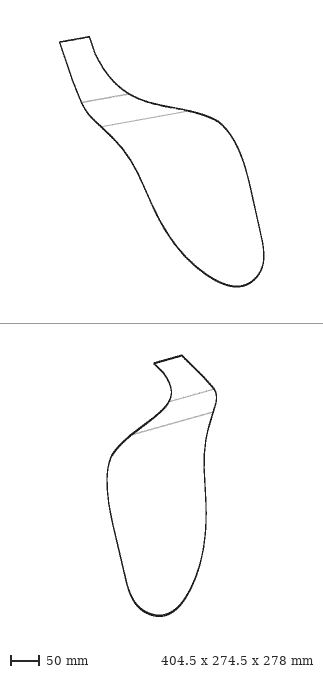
import cadquery as cq
import math

length = 404.5
handle_width = 54.5
thickness = 2.0
cross_slope = 0.063
bend_start_x = 138.0
bend_end_x = 185.5
bend_angle = math.radians(41)
margin = 8.0
sheet_depth = 283.3
trim_height = 809.5

upper_straight_end = (39.0, handle_width)
blade_corner = (205.5, 234.5)
lower_straight_end = (88.0, 0)

upper_neck = [(68.5, 59.0), (97.5, 67.0), (126.5, 81.5), (146.0, 97.5), (166.0, 130.5), (185.5, 188.0), blade_corner]
blade_edge = [
    (224.0, 251.0), (253.7, 264.0), (292.5, 270.0), (331.5, 272.5), (356.0, 274.5),
    (380.5, 269.0), (400.0, 246.0), (length, 222.5), (400.0, 196.5), (380.5, 161.5),
    (351.0, 127.5), (302.3, 94.5), (243.5, 71.2), (214.5, 53.0), (185.5, 26.5),
    (166.0, 10.5), (146.0, 3.5), (117.5, 1.2), lower_straight_end,
]

blade_profile = [(234.0, -64.0), (283.0, -119.8), (331.5, -179.5), (380.5, -236.7), (length + margin, -269.0)]
blade_tip_direction = (1, -1)


def make_sheet():
    """Bent sheet of near-constant thickness, swept in Y while falling at the cross slope."""
    top_radius = (bend_end_x - bend_start_x) / math.sin(bend_angle)
    bottom_radius = top_radius - thickness
    blade_start_direction = (math.cos(bend_angle), -math.sin(bend_angle))

    def bend_point(radius, angle):
        return (bend_start_x + radius * math.sin(angle), radius * math.cos(angle) - top_radius)

    shift_x = -thickness * math.sin(bend_angle)
    shift_z = -thickness * math.cos(bend_angle)
    underside = [(x + shift_x, z + shift_z) for x, z in blade_profile]
    underside_end = bend_point(bottom_radius, bend_angle)

    section = (
        cq.Workplane("XZ")
        .moveTo(-margin, 0)
        .lineTo(bend_start_x, 0)
        .threePointArc(bend_point(top_radius, bend_angle / 2), bend_point(top_radius, bend_angle))
        .spline(blade_profile, tangents=[blade_start_direction, blade_tip_direction], includeCurrent=True)
        .lineTo(*underside[-1])
        .spline(
            underside[-2::-1] + [underside_end],
            tangents=[(-x, -z) for x, z in (blade_tip_direction, blade_start_direction)],
            includeCurrent=True,
        )
        .threePointArc(bend_point(bottom_radius, bend_angle / 2), bend_point(bottom_radius, 0))
        .lineTo(-margin, -thickness)
        .close()
        .val()
    )
    start = section.translate(cq.Vector(0, -margin, margin * cross_slope))
    reach = sheet_depth + 2 * margin
    return cq.Solid.extrudeLinear(start, [], cq.Vector(0, reach, -reach * cross_slope))


def make_outline_prism():
    """Vertical prism with the plan outline of the handle and blade."""
    return (
        cq.Workplane("XY")
        .workplane(offset=-trim_height / 2)
        .moveTo(0, 0)
        .lineTo(0, handle_width)
        .lineTo(*upper_straight_end)
        .spline(upper_neck, includeCurrent=True)
        .spline(blade_edge, includeCurrent=True)
        .close()
        .extrude(trim_height)
    )


result = make_outline_prism().intersect(cq.Workplane(make_sheet()))